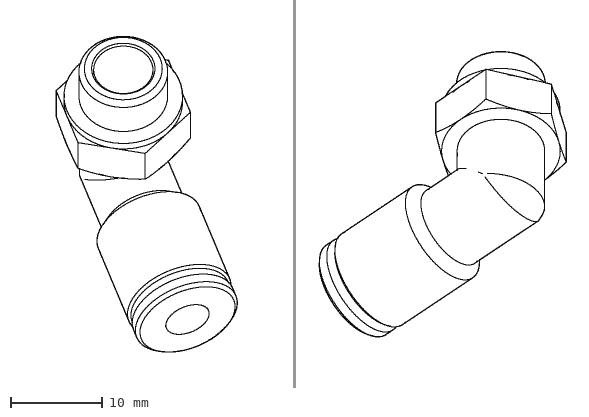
import cadquery as cq
import math


pipe_dia = 9.6
bore_dia = 5.0
corner_torus_radius = 0.6

hex_across_flats = 13.0
hex_across_corners = hex_across_flats / math.cos(math.radians(30))
hex_bottom_z = 6.7
hex_top_z = 12.0
hex_chamfer_angle = 30.0

flange_dia = hex_across_flats
flange_top_z = 13.0
stem_dia = 9.73
stem_top_z = 18.0
stem_chamfer = 0.6
stem_bore_dia = 6.49
stem_mouth_chamfer = 0.22
stem_bore_bottom_z = hex_bottom_z
stem_bore_cone_height = (stem_bore_dia - bore_dia) / 2

body_dia = 12.0
body_start_x = 7.5
body_end_x = 19.5
body_shoulder_length = (body_dia - pipe_dia) / 2
body_end_chamfer = 0.3

neck_dia = 6.8
neck_flare = 0.1
neck_flare_length = 0.25
collar_dia = 11.8
collar_start_x = 20.5
collar_end_x = 22.0
collar_chamfer = 0.4


def revolve_about_x(outline):
    """Revolve a closed outline of (x, radius) points about the X axis."""
    return cq.Workplane("XZ").polyline(outline).close().revolve(360, (0, 0), (1, 0))


def revolve_about_z(outline):
    """Revolve a closed outline of (radius, z) points about the Z axis."""
    return cq.Workplane("XZ").polyline(outline).close().revolve(360, (0, 0), (0, 1))


def prism_along_y(outline):
    """Extrude a closed outline of (x, z) points across the full width of the pipe."""
    return cq.Workplane("XZ").polyline(outline).close().extrude(pipe_dia, both=True)


def mitred_pipe():
    """Two pipes that meet on the 45 degree plane x = z."""
    radius = pipe_dia / 2
    upright = cq.Workplane("XY").workplane(offset=-radius).circle(radius).extrude(radius + hex_bottom_z)
    level = cq.Workplane("YZ").workplane(offset=-radius).circle(radius).extrude(radius + body_start_x)
    reach = body_start_x + radius
    upright_side = prism_along_y([(-reach, -reach), (reach, reach), (-reach, reach)])
    level_side = prism_along_y([(-reach, -reach), (reach, -reach), (reach, reach)])
    return upright.intersect(upright_side).union(level.intersect(level_side))


def corner_waste():
    """Material outside the torus that rounds the sharp outer corner of the mitre."""
    section_radius = pipe_dia / 2
    axis_half_width = math.sqrt(section_radius**2 - corner_torus_radius**2)
    torus = (
        cq.Workplane("XY")
        .moveTo(0, -axis_half_width)
        .threePointArc((corner_torus_radius + section_radius, 0), (0, axis_half_width))
        .close()
        .revolve(360, (0, 0), (0, 1))
    )
    wedge_leg = 4 * corner_torus_radius
    outer = pipe_dia
    wedge = prism_along_y([(outer - wedge_leg, -outer), (-outer, outer - wedge_leg), (-outer, -outer)])
    return wedge.cut(torus)


def hexagon_nut():
    """Hexagon with corners on the X axis and a chamfered lower end."""
    flat_radius = hex_across_flats / 2
    corner_radius = hex_across_corners / 2
    chamfer_height = (corner_radius - flat_radius) * math.tan(math.radians(hex_chamfer_angle))
    prism = (
        cq.Workplane("XY")
        .workplane(offset=hex_bottom_z)
        .polygon(6, hex_across_corners)
        .extrude(hex_top_z - hex_bottom_z)
    )
    envelope = revolve_about_z(
        [
            (0, hex_bottom_z),
            (flat_radius, hex_bottom_z),
            (corner_radius, hex_bottom_z + chamfer_height),
            (corner_radius, hex_top_z),
            (0, hex_top_z),
        ]
    )
    return prism.intersect(envelope)


def flange_and_stem():
    """Round flange on the nut and the chamfered stem above it."""
    flange_radius = flange_dia / 2
    stem_radius = stem_dia / 2
    return revolve_about_z(
        [
            (0, hex_top_z),
            (flange_radius, hex_top_z),
            (flange_radius, flange_top_z),
            (stem_radius, flange_top_z),
            (stem_radius, stem_top_z - stem_chamfer),
            (stem_radius - stem_chamfer, stem_top_z),
            (0, stem_top_z),
        ]
    )


def push_in_body():
    """Body with a conical shoulder on the pipe side and a small chamfer on the other end."""
    radius = body_dia / 2
    return revolve_about_x(
        [
            (body_start_x, 0),
            (body_start_x, pipe_dia / 2),
            (body_start_x + body_shoulder_length, radius),
            (body_end_x - body_end_chamfer, radius),
            (body_end_x, radius - body_end_chamfer),
            (body_end_x, 0),
        ]
    )


def release_collar():
    """Neck that flares slightly into the chamfered collar."""
    neck_radius = neck_dia / 2
    collar_radius = collar_dia / 2
    return revolve_about_x(
        [
            (body_end_x, 0),
            (body_end_x, neck_radius),
            (collar_start_x - neck_flare_length, neck_radius),
            (collar_start_x, neck_radius + neck_flare),
            (collar_start_x, collar_radius),
            (collar_end_x - collar_chamfer, collar_radius),
            (collar_end_x, collar_radius - collar_chamfer),
            (collar_end_x, 0),
        ]
    )


def flow_passage():
    """Stepped stem bore, a ball-ended turn at the origin and the bore out through the collar."""
    radius = bore_dia / 2
    stem_radius = stem_bore_dia / 2
    stem_bore = revolve_about_z(
        [
            (0, 0),
            (radius, 0),
            (radius, stem_bore_bottom_z - stem_bore_cone_height),
            (stem_radius, stem_bore_bottom_z),
            (stem_radius, stem_top_z - stem_mouth_chamfer),
            (stem_radius + stem_mouth_chamfer, stem_top_z),
            (0, stem_top_z),
        ]
    )
    turn = cq.Workplane("XY").sphere(radius)
    level_bore = cq.Workplane("YZ").circle(radius).extrude(collar_end_x)
    return stem_bore.union(level_bore).union(turn)


elbow = mitred_pipe().cut(corner_waste())
fitting = elbow.union(hexagon_nut()).union(flange_and_stem()).union(push_in_body()).union(release_collar())
result = fitting.cut(flow_passage())